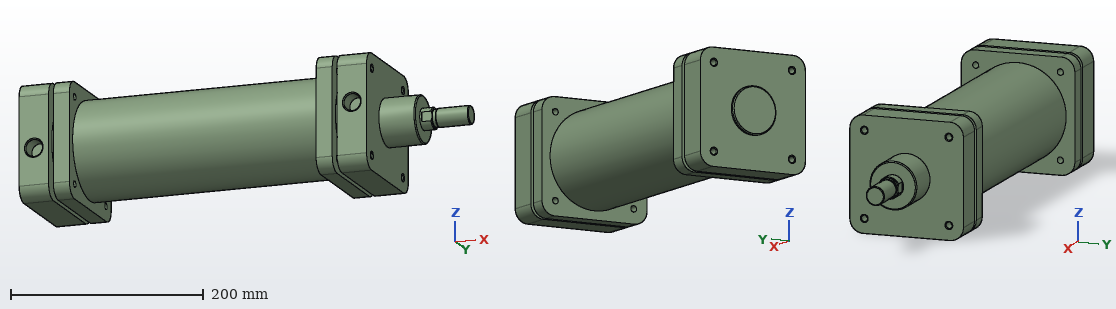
import cadquery as cq

overall_length = 481.0
rear_boss_length = 4.0
cap_thickness = 32.5
gap = 5.5
flange_thickness = 18.0
barrel_length = 319.0
sleeve_length = 40.0

rear_cap_x = rear_boss_length
barrel_x = rear_cap_x + cap_thickness
rear_flange_x = barrel_x + gap
front_cap_x = barrel_x + barrel_length
front_flange_x = front_cap_x - gap - flange_thickness
front_face_x = front_cap_x + cap_thickness
rod_x = front_face_x + sleeve_length

plate_side = 126.0
corner_radius = 15.0
barrel_diameter = 107.0
boss_diameter = 52.0
boss_chamfer = 1.2

bolt_spacing = 94.0
bolt_hole_diameter = 6.5
bolt_hole_depth = 14.5
bolt_hole_chamfer = 1.0

port_diameter = 18.5
port_depth = 19.0
port_chamfer = 1.2
port_offset = 8.0

rod_diameter = 23.5
rod_chamfer = 1.0
wrench_flat_width = 21.0
wrench_flat_start = 2.0
shoulder_length = 13.0
thread_diameter = 20.0
neck_diameter = 18.8
neck_length = 3.5
thread_chamfer = 1.0


def disc(x, diameter, length):
    """Cylinder on the X axis that starts at x."""
    return cq.Workplane("YZ", origin=(x, 0, 0)).circle(diameter / 2).extrude(length)


def square_plate(x, thickness):
    """Square plate with rounded corners, centred on the X axis."""
    plate = cq.Workplane("YZ", origin=(x, 0, 0)).rect(plate_side, plate_side).extrude(thickness)
    return plate.edges("|X").fillet(corner_radius)


def chamfered_bore(diameter, depth, chamfer):
    """Cutter for a blind hole along local Z, with a countersunk mouth at the origin."""
    radius = diameter / 2
    profile = (
        cq.Workplane("XZ")
        .moveTo(0, 0)
        .lineTo(radius + chamfer, 0)
        .lineTo(radius, chamfer)
        .lineTo(radius, depth)
        .lineTo(0, depth)
        .close()
    )
    return profile.revolve(360, (0, 0, 0), (0, 1, 0))


def make_cap(x, boss, bolt_face_x, bolt_direction, port_z):
    """End cap with its round boss, a side port and four blind bolt holes in its outer face."""
    cap = square_plate(x, cap_thickness).union(boss)
    port = chamfered_bore(port_diameter, port_depth, port_chamfer).rotate((0, 0, 0), (1, 0, 0), -90)
    cap = cap.cut(port.translate((x + cap_thickness / 2, -plate_side / 2, port_z)))
    bolt_hole = chamfered_bore(bolt_hole_diameter, bolt_hole_depth, bolt_hole_chamfer)
    bolt_hole = bolt_hole.rotate((0, 0, 0), (0, 1, 0), 90 * bolt_direction)
    half_spacing = bolt_spacing / 2
    for y in (-half_spacing, half_spacing):
        for z in (-half_spacing, half_spacing):
            cap = cap.cut(bolt_hole.translate((bolt_face_x, y, z)))
    return cap


def make_rear_cap():
    boss = disc(0, boss_diameter, rear_boss_length).faces("<X").chamfer(boss_chamfer)
    return make_cap(rear_cap_x, boss, rear_cap_x, 1, -port_offset)


def make_front_cap():
    sleeve = disc(front_face_x, boss_diameter, sleeve_length).faces(">X").chamfer(boss_chamfer)
    return make_cap(front_cap_x, sleeve, front_face_x, -1, port_offset)


def make_flange(x):
    """Square flange around the barrel, with four through bolt holes."""
    flange = square_plate(x, flange_thickness).cut(disc(x, barrel_diameter, flange_thickness))
    bolt_holes = (
        cq.Workplane("YZ", origin=(x, 0, 0))
        .rect(bolt_spacing, bolt_spacing, forConstruction=True)
        .vertices()
        .circle(bolt_hole_diameter / 2)
        .extrude(flange_thickness)
    )
    return flange.cut(bolt_holes)


def make_rod():
    """Rod end: chamfered shoulder with two open-ended wrench flats, neck and threaded stud."""
    shoulder = disc(rod_x, rod_diameter, shoulder_length).faces(">X").chamfer(rod_chamfer)
    collar = disc(rod_x, rod_diameter, wrench_flat_start)
    flat_bar = cq.Workplane("YZ", origin=(rod_x, 0, 0)).rect(wrench_flat_width, rod_diameter)
    shoulder = shoulder.intersect(collar.union(flat_bar.extrude(shoulder_length)))
    neck_x = rod_x + shoulder_length
    thread_x = neck_x + neck_length
    neck = disc(neck_x, neck_diameter, neck_length)
    thread = disc(thread_x, thread_diameter, overall_length - thread_x)
    thread = thread.faces("<X or >X").chamfer(thread_chamfer)
    return shoulder.union(neck).union(thread)


rear_cap = make_rear_cap()
front_cap = make_front_cap()
barrel = disc(barrel_x, barrel_diameter, barrel_length)
flanges = [make_flange(x) for x in (rear_flange_x, front_flange_x)]
rod = make_rod()

result = cq.Compound.makeCompound(
    [rear_cap.val(), front_cap.val(), barrel.val(), *[flange.val() for flange in flanges], rod.val()]
)